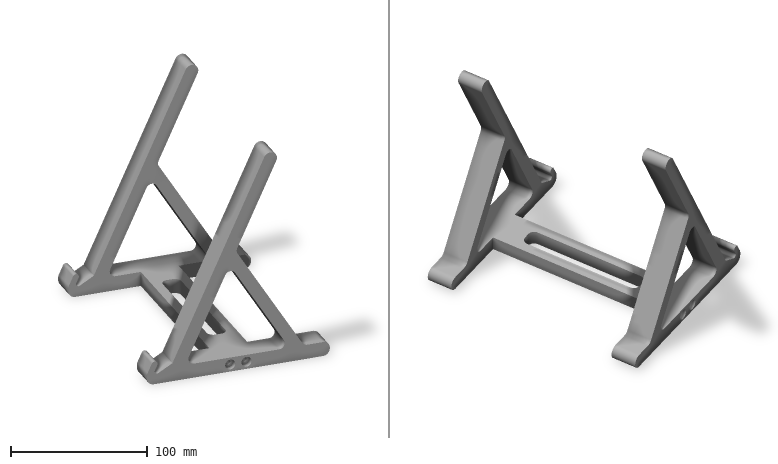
import cadquery as cq
import math


WIDTH = 180.0
DEPTH = 143.6
HEIGHT = 172.5

FRAME_WIDTH = 20.5
FOOT_HEIGHT = 11.3
FOOT_RADIUS = 5.4
REST_ANGLE = 65.0
REST_THICKNESS = 10.5
REST_BASE_Y = -51.8
REST_BASE_Z = 14.5
STRUT_ANGLE = 58.0
STRUT_THICKNESS = 9.7
STRUT_FOOT_Y = 51.5
FRAME_FILLET = 4.5
LEDGE_ANGLE = 29.0
HOOK_THICKNESS = 4.7
HOOK_BASE_Z = 8.8
HOOK_TIP_Z = 18.4
HOOK_FILLET = 2.0

SCREW_DIAMETER = 3.5
SCREW_HEAD_DIAMETER = 8.0
SCREW_HEAD_DEPTH = 4.0
SCREW_SPACING = 12.8

BAR_LENGTH = WIDTH - 2 * FRAME_WIDTH
BAR_DEPTH = 29.7
BAR_HEIGHT = FOOT_HEIGHT
SLOT_LENGTH = 99.4
SLOT_DEPTH = 14.5
SLOT_RADIUS = 5.0

SHORTEST_EDGE = 0.0002

REST_UP = cq.Vector(math.cos(math.radians(REST_ANGLE)), math.sin(math.radians(REST_ANGLE)))
REST_BACK = cq.Vector(REST_UP.y, -REST_UP.x)
STRUT_DOWN = cq.Vector(math.cos(math.radians(STRUT_ANGLE)), -math.sin(math.radians(STRUT_ANGLE)))
STRUT_FRONT = cq.Vector(STRUT_DOWN.y, -STRUT_DOWN.x)
LEDGE_RISE = cq.Vector(math.cos(math.radians(LEDGE_ANGLE)), math.sin(math.radians(LEDGE_ANGLE)))
LEVEL = cq.Vector(1, 0)


def crossing(point_a, direction_a, point_b, direction_b):
    """Point where two lines, each a point and a direction, cross."""
    distance = (point_b - point_a).cross(direction_b).z / direction_a.cross(direction_b).z
    return point_a + direction_a * distance


def rounded_prism(corners):
    """Frame-wide prism in X from a closed YZ outline of (corner, radius) pairs."""
    path = cq.Workplane("YZ")
    started = False
    for i, (corner, radius) in enumerate(corners):
        to_last = (corners[i - 1][0] - corner).normalized()
        to_next = (corners[(i + 1) % len(corners)][0] - corner).normalized()
        half_angle = to_last.getAngle(to_next) / 2
        trim = radius / math.tan(half_angle)
        bisector = (to_last + to_next).normalized()
        arc_start = corner + to_last * trim
        arc_middle = corner + bisector * (radius / math.sin(half_angle) - radius)
        arc_end = corner + to_next * trim
        if not started:
            path = path.moveTo(arc_start.x, arc_start.y)
            position = arc_start
            started = True
        if (arc_start - position).Length > SHORTEST_EDGE:
            path = path.lineTo(arc_start.x, arc_start.y)
        if radius > 0:
            path = path.threePointArc((arc_middle.x, arc_middle.y), (arc_end.x, arc_end.y))
        position = arc_end
    return path.close().extrude(FRAME_WIDTH)


def frame_profile():
    """Foot, rest, strut and hook as one rounded outline."""
    foot_front = -DEPTH / 2
    foot_rear = DEPTH / 2
    foot_top = cq.Vector(0, FOOT_HEIGHT)

    rest_base = cq.Vector(REST_BASE_Y, REST_BASE_Z)
    tip_radius = REST_THICKNESS / 2
    tip_rise = HEIGHT - tip_radius * (1 + REST_BACK.y) - REST_BASE_Z
    rest_top_front = rest_base + REST_UP * (tip_rise / REST_UP.y + tip_radius)
    rest_top_rear = rest_top_front + REST_BACK * REST_THICKNESS

    strut_foot = cq.Vector(STRUT_FOOT_Y, FOOT_HEIGHT)
    elbow = crossing(strut_foot, STRUT_DOWN, rest_top_rear, REST_UP)

    hook_radius = HOOK_THICKNESS / 2
    hook_base = cq.Vector(foot_front, HOOK_BASE_Z)
    hook_rise = HOOK_TIP_Z - hook_radius * (1 + REST_BACK.y) - HOOK_BASE_Z
    hook_tip_front = hook_base + REST_UP * (hook_rise / REST_UP.y + hook_radius)
    hook_tip_rear = hook_tip_front + REST_BACK * HOOK_THICKNESS
    ledge_end = crossing(hook_tip_rear, REST_UP, rest_base, LEDGE_RISE)

    outline = [
        (cq.Vector(foot_rear, 0), FOOT_RADIUS),
        (cq.Vector(foot_rear, FOOT_HEIGHT), FOOT_RADIUS),
        (strut_foot, FRAME_FILLET),
        (elbow, FRAME_FILLET),
        (rest_top_rear, tip_radius),
        (rest_top_front, tip_radius),
        (rest_base, 0),
        (ledge_end, HOOK_FILLET),
        (hook_tip_rear, hook_radius),
        (hook_tip_front, hook_radius),
        (hook_base, FOOT_RADIUS),
        (cq.Vector(foot_front, 0), FOOT_RADIUS),
    ]

    strut_inner = strut_foot + STRUT_FRONT * STRUT_THICKNESS
    rest_inner = rest_base + REST_BACK * REST_THICKNESS
    window = [
        (crossing(strut_inner, STRUT_DOWN, foot_top, LEVEL), FRAME_FILLET),
        (crossing(strut_inner, STRUT_DOWN, rest_inner, REST_UP), FRAME_FILLET),
        (crossing(rest_inner, REST_UP, foot_top, LEVEL), FRAME_FILLET),
    ]
    return rounded_prism(outline).cut(rounded_prism(window))


def make_frame():
    """Left-hand side frame, its outer face at the -X end, with counterbored screw holes."""
    frame = frame_profile().translate((-WIDTH / 2, 0, 0))
    screw_places = [(side * SCREW_SPACING / 2, FOOT_HEIGHT / 2) for side in (-1, 1)]
    outer_face = cq.Workplane("YZ", origin=(-WIDTH / 2, 0, 0)).pushPoints(screw_places)
    frame = frame.cut(outer_face.circle(SCREW_DIAMETER / 2).extrude(FRAME_WIDTH))
    return frame.cut(outer_face.circle(SCREW_HEAD_DIAMETER / 2).extrude(SCREW_HEAD_DEPTH))


def make_cross_bar():
    """Flat bar between the feet, with a rounded slot through it."""
    bar = cq.Workplane("XY").rect(BAR_LENGTH, BAR_DEPTH).extrude(BAR_HEIGHT)
    slot = cq.Workplane("XY").rect(SLOT_LENGTH, SLOT_DEPTH).extrude(BAR_HEIGHT)
    return bar.cut(slot.edges("|Z").fillet(SLOT_RADIUS))


frames = []
for mirrored in (False, True):
    frame = make_frame()
    if mirrored:
        frame = frame.mirror("YZ")
    frames.append(frame.val())

cross_bar = make_cross_bar()

result = cq.Compound.makeCompound([*frames, cross_bar.val()])